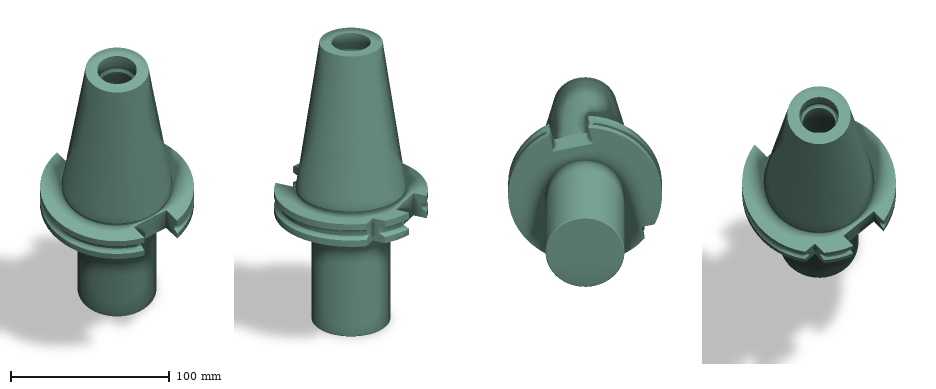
import cadquery as cq
import math

total_height = 196.6
taper_length = 102.5
collar_length = 2.2
flange_thickness = 16.0
taper_bottom = total_height - taper_length
flange_top = taper_bottom - collar_length
flange_bottom = flange_top - flange_thickness

taper_diameter = 70.0
taper_ratio = 7 / 24
taper_tip_diameter = taper_diameter - taper_ratio * taper_length
collar_diameter = 69.4
relief_height = 0.5
collar_fillet = 0.4

flange_diameter = 97.3
groove_root_diameter = 91.0
groove_root_width = 3.3
groove_flank_angle = 30.0
groove_middle = flange_bottom + flange_thickness / 2

shank_diameter = 50.0
shank_chamfer = 0.5

slot_width = 25.5
left_slot_floor = 37.7
right_slot_floor = 35.2

notch_offset = 29.9

entry_diameter = 25.0
entry_depth = 9.2
relief_diameter = 25.5
relief_length = 2.2
drill_diameter = 21.0
drill_depth = 49.2
cone_angle = 140.0


def make_body():
    """Taper, collar, grooved flange and shank, revolved about Z."""
    flange_radius = flange_diameter / 2
    root_radius = groove_root_diameter / 2
    shank_radius = shank_diameter / 2
    half_root = groove_root_width / 2
    flank_rise = (flange_radius - root_radius) * math.tan(math.radians(groove_flank_angle))
    half_mouth = half_root + flank_rise
    collar_radius = collar_diameter / 2
    return (
        cq.Workplane("XZ")
        .moveTo(0, 0)
        .lineTo(shank_radius - shank_chamfer, 0)
        .lineTo(shank_radius, shank_chamfer)
        .lineTo(shank_radius, flange_bottom)
        .lineTo(flange_radius, flange_bottom)
        .lineTo(flange_radius, groove_middle - half_mouth)
        .lineTo(root_radius, groove_middle - half_root)
        .lineTo(root_radius, groove_middle + half_root)
        .lineTo(flange_radius, groove_middle + half_mouth)
        .lineTo(flange_radius, flange_top)
        .lineTo(collar_radius + collar_fillet, flange_top)
        .radiusArc((collar_radius, flange_top + collar_fillet), collar_fillet)
        .lineTo(collar_radius, taper_bottom - relief_height)
        .lineTo(taper_diameter / 2, taper_bottom)
        .lineTo(taper_tip_diameter / 2, total_height)
        .lineTo(0, total_height)
        .close()
        .revolve(360, (0, 0), (0, 1))
    )


def flange_cutter(x_start, x_end, y_start, y_end):
    """Rectangular block as tall as the flange."""
    return (
        cq.Workplane("XY")
        .box(x_end - x_start, y_end - y_start, flange_thickness, centered=False)
        .translate((x_start, y_start, flange_bottom))
    )


def make_bore():
    """Entry, relief, conical seat, drilled hole and drill point."""
    entry_radius = entry_diameter / 2
    relief_radius = relief_diameter / 2
    drill_radius = drill_diameter / 2
    cone_slope = 1 / math.tan(math.radians(cone_angle / 2))
    relief_top = total_height - entry_depth
    relief_bottom = relief_top - relief_length
    seat_bottom = relief_bottom - (relief_radius - drill_radius) * cone_slope
    drill_bottom = total_height - drill_depth
    profile = [
        (0, total_height),
        (entry_radius, total_height),
        (entry_radius, relief_top),
        (relief_radius, relief_top),
        (relief_radius, relief_bottom),
        (drill_radius, seat_bottom),
        (drill_radius, drill_bottom),
        (0, drill_bottom - drill_radius * cone_slope),
    ]
    return cq.Workplane("XZ").polyline(profile).close().revolve(360, (0, 0), (0, 1))


left_slot = flange_cutter(-flange_diameter, -left_slot_floor, -slot_width / 2, slot_width / 2)
right_slot = flange_cutter(right_slot_floor, flange_diameter, -slot_width / 2, slot_width / 2)
notch = flange_cutter(-flange_diameter, -notch_offset, notch_offset, flange_diameter)

result = make_body().cut(left_slot).cut(right_slot).cut(notch).cut(make_bore())